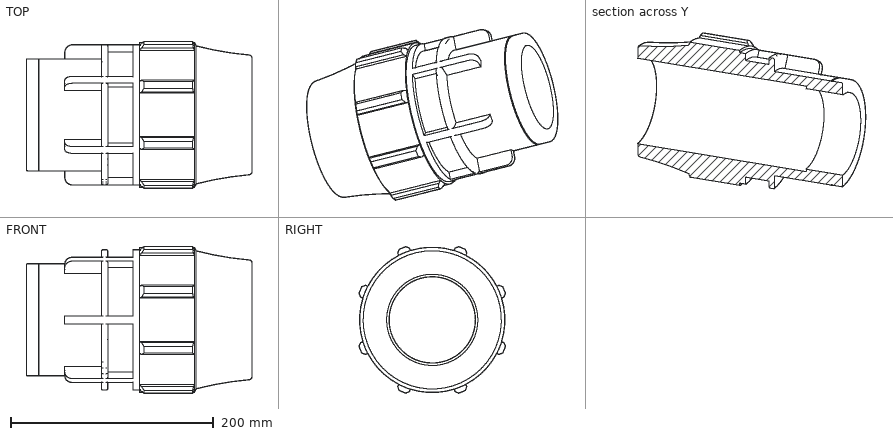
import cadquery as cq
import math

LENGTH = 223.0

SPIGOT_RADIUS = 110.8 / 2
SPIGOT_FILLET = 1.3
GROOVE_X = 11.8
GROOVE_WIDTH = 1.0
GROOVE_DEPTH = 0.5

BORE_RADIUS = 85.0 / 2
PIPE_RADIUS = 90.0 / 2
PIPE_STOP_X = 40.0

COLLAR_RADIUS = 62.0
FLANGE_RADIUS = 138.7 / 2
RING_START = 74.0
RING_END = 80.5
RING_FILLET = 1.8
FLANGE_START = 105.3

RIB_COUNT = 6
RIB_START = 38.0
RIB_THICKNESS = 7.8
RIB_CORNER_RADIUS = 7.8

NUT_START = 111.7
NUT_END = 167.7
NUT_RADIUS = 71.8
NUT_CHAMFER_LENGTH = 1.8

NOSE_START_RADIUS = 68.2
NOSE_END_RADIUS = 59.3
NOSE_SAG = 1.1
NOSE_FILLET = 3.5

GRIP_COUNT = 8
GRIP_RADIUS = 77.0
GRIP_TOP_WIDTH = 7.1
GRIP_SHOULDER_RADIUS = 74.0
GRIP_BASE_WIDTH = 12.7
GRIP_FRONT_SLOPE = 4.5
GRIP_BACK_SLOPE = 1.8
GRIP_END = NUT_END - NUT_CHAMFER_LENGTH

SEAM_ANGLE = 40


def make_body():
    """Solid of revolution holding the spigot, collar, ring, flange, nut and nose."""
    groove_end = GROOVE_X + GROOVE_WIDTH
    groove_radius = SPIGOT_RADIUS - GROOVE_DEPTH
    ring_edge_radius = FLANGE_RADIUS - RING_FILLET
    nose_edge_x = LENGTH - NOSE_FILLET
    nose_middle_x = (NUT_END + nose_edge_x) / 2
    nose_middle_radius = (NOSE_START_RADIUS + NOSE_END_RADIUS) / 2 - NOSE_SAG
    return (
        cq.Workplane("XY")
        .moveTo(0, 0)
        .lineTo(0, SPIGOT_RADIUS - SPIGOT_FILLET)
        .radiusArc((SPIGOT_FILLET, SPIGOT_RADIUS), SPIGOT_FILLET)
        .lineTo(GROOVE_X, SPIGOT_RADIUS)
        .lineTo(GROOVE_X, groove_radius)
        .lineTo(groove_end, groove_radius)
        .lineTo(groove_end, SPIGOT_RADIUS)
        .lineTo(RING_START, SPIGOT_RADIUS)
        .lineTo(RING_START, ring_edge_radius)
        .radiusArc((RING_START + RING_FILLET, FLANGE_RADIUS), RING_FILLET)
        .lineTo(RING_END - RING_FILLET, FLANGE_RADIUS)
        .radiusArc((RING_END, ring_edge_radius), RING_FILLET)
        .lineTo(RING_END, COLLAR_RADIUS)
        .lineTo(FLANGE_START, COLLAR_RADIUS)
        .lineTo(FLANGE_START, FLANGE_RADIUS)
        .lineTo(NUT_START, FLANGE_RADIUS)
        .lineTo(NUT_START, NUT_RADIUS)
        .lineTo(NUT_END - NUT_CHAMFER_LENGTH, NUT_RADIUS)
        .lineTo(NUT_END, NOSE_START_RADIUS)
        .threePointArc((nose_middle_x, nose_middle_radius), (nose_edge_x, NOSE_END_RADIUS))
        .radiusArc((LENGTH, NOSE_END_RADIUS - NOSE_FILLET), NOSE_FILLET)
        .lineTo(LENGTH, 0)
        .close()
        .revolve(360, (0, 0, 0), (1, 0, 0))
        .rotate((0, 0, 0), (1, 0, 0), SEAM_ANGLE)
    )


def make_rib():
    """One radial rib along +Y: a slab cut from a revolved rib outline, so its top stays round."""
    inner_radius = (BORE_RADIUS + SPIGOT_RADIUS) / 2
    revolved_outline = (
        cq.Workplane("XY")
        .moveTo(RIB_START, inner_radius)
        .lineTo(RIB_START, FLANGE_RADIUS - RIB_CORNER_RADIUS)
        .radiusArc((RIB_START + RIB_CORNER_RADIUS, FLANGE_RADIUS), RIB_CORNER_RADIUS)
        .lineTo(FLANGE_START, FLANGE_RADIUS)
        .lineTo(FLANGE_START, inner_radius)
        .close()
        .revolve(360, (0, 0, 0), (1, 0, 0))
        .rotate((0, 0, 0), (1, 0, 0), SEAM_ANGLE)
    )
    slab = cq.Workplane("XY").box(LENGTH, FLANGE_RADIUS, RIB_THICKNESS, centered=(False, False, True))
    return revolved_outline.intersect(slab)


def make_grip():
    """One grip along +Y: upright flanks with bevelled shoulders, and sloping ends."""
    base_height = math.sqrt(NUT_RADIUS**2 - (GRIP_BASE_WIDTH / 2) ** 2)
    root_height = (PIPE_RADIUS + NUT_RADIUS) / 2
    flanks = (
        cq.Workplane("YZ")
        .workplane(offset=NUT_START)
        .moveTo(root_height, -GRIP_BASE_WIDTH / 2)
        .lineTo(GRIP_SHOULDER_RADIUS, -GRIP_BASE_WIDTH / 2)
        .lineTo(GRIP_RADIUS, -GRIP_TOP_WIDTH / 2)
        .lineTo(GRIP_RADIUS, GRIP_TOP_WIDTH / 2)
        .lineTo(GRIP_SHOULDER_RADIUS, GRIP_BASE_WIDTH / 2)
        .lineTo(root_height, GRIP_BASE_WIDTH / 2)
        .close()
        .extrude(GRIP_END - NUT_START)
    )
    side_outline = (
        cq.Workplane("XY")
        .moveTo(NUT_START, root_height)
        .lineTo(NUT_START, base_height)
        .lineTo(NUT_START + GRIP_FRONT_SLOPE, GRIP_RADIUS)
        .lineTo(GRIP_END - GRIP_BACK_SLOPE, GRIP_RADIUS)
        .lineTo(GRIP_END, base_height)
        .lineTo(GRIP_END, root_height)
        .close()
        .extrude(GRIP_BASE_WIDTH, both=True)
    )
    return flanks.intersect(side_outline)


def add_around_axis(body, feature, count, first_angle):
    """Join evenly spaced copies of a feature, turned about the X axis, to the body."""
    for index in range(count):
        angle = first_angle + index * 360 / count
        body = body.union(feature.rotate((0, 0, 0), (1, 0, 0), angle))
    return body


def cylinder_along_x(start, end, radius):
    """Solid cylinder on the X axis, reaching from start to end."""
    return cq.Workplane("YZ").workplane(offset=start).circle(radius).extrude(end - start)


body = make_body()
body = add_around_axis(body, make_rib(), RIB_COUNT, 0)
body = add_around_axis(body, make_grip(), GRIP_COUNT, 180 / GRIP_COUNT)
body = body.cut(cylinder_along_x(0, LENGTH, BORE_RADIUS))
result = body.cut(cylinder_along_x(PIPE_STOP_X, LENGTH, PIPE_RADIUS))